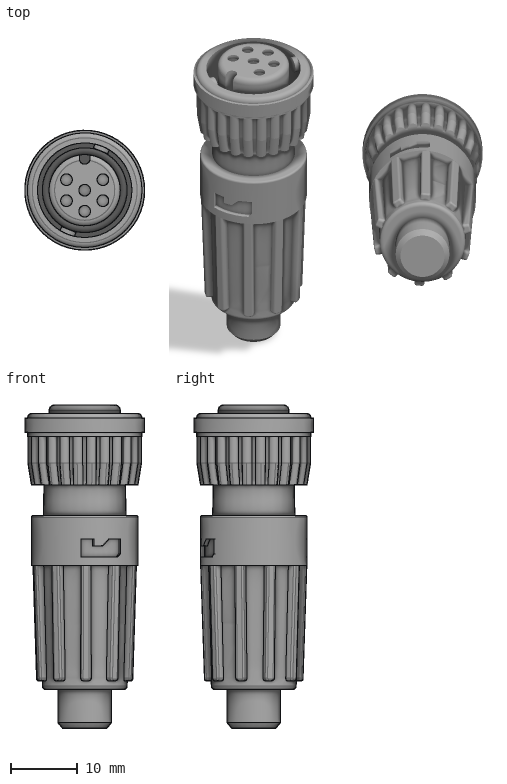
import cadquery as cq
import math


stub_chamfer_height = 0.88
barrel_bottom = 5.85
rib_bottom = 7.15
collar_bottom = 24.45
collar_top = 32.0
grip_bottom = 36.65
grip_bend = 39.9
grip_top = 43.85
band_bottom = 44.5
band_top = 46.65
ring_top = 47.38
total_height = 48.65

stub_radius = 4.05
stub_end_radius = 3.3
barrel_bottom_radius = 6.35
barrel_top_radius = 6.85
barrel_fillet = 0.6
collar_radius = 8.03
collar_fillet = 0.3
neck_bottom_radius = 6.25
neck_top_radius = 6.15
ring_radius = 8.6
band_diameter = 18.05
band_radius = band_diameter / 2
ring_fillet = ring_top - band_top

rib_count = 10
rib_first_angle = -88.3
rib_top_radius = 8.0
rib_bottom_radius = 7.4
rib_edge_fillet = 0.3
rib_corner_fillet = 0.45
rib_tip_width = 1.3
rib_root_width = 1.7
rib_root_radius = 5.85

lobe_count = 24
lobe_pitch = 360 / lobe_count
lobe_radius = 0.75
lobe_center_radius = ring_radius - lobe_radius
grip_taper = 0.55
grip_core_radius = 7.85

bore_radius = 7.1
cavity_floor = 39.9
insert_radius = 5.35
insert_fillet = 0.85
sleeve_radius = 6.35
sleeve_top = 41.35
contact_circle_radius = 3.15
contact_angles = (30, 150, 210, 270, 330)
contact_radius = 0.88
contact_depth = 0.65
keyway_width = 1.6
keyway_center_y = 4.7
keyway_bottom = sleeve_top

pin_radius = 1.15
pin_top = 47.35
pin_angles = (68, 248)
pin_inner_radius = sleeve_radius
pin_embedding = 0.3
pin_length = bore_radius + pin_embedding - pin_inner_radius

window_floor_radius = 7.4
window_angle = 19
window_half_width = 3.1
window_bottom = 25.8
window_top = 28.5
window_corner = 0.5
tongue_bottom = 27.45
tongue_left = -1.25
tongue_right = 0.05
tongue_slope_end = 1.15



def disc(radius, bottom, top):
    """Cylinder about the Z axis between two heights."""
    return cq.Workplane("XY").workplane(offset=bottom).circle(radius).extrude(top - bottom)


def cone(bottom_radius, top_radius, bottom, top):
    """Truncated cone about the Z axis between two heights."""
    outline = [(0, bottom), (bottom_radius, bottom), (top_radius, top), (0, top)]
    return cq.Workplane("XZ").polyline(outline).close().revolve(360, (0, 0, 0), (0, 1, 0))


def spin(shape, angle):
    """Turn a shape about the Z axis."""
    return shape.rotate((0, 0, 0), (0, 0, 1), angle)


def make_rear_body():
    """Stub, tapered barrel, collar and neck."""
    stub_end = cone(stub_end_radius, stub_radius, 0, stub_chamfer_height)
    stub = disc(stub_radius, stub_chamfer_height, barrel_bottom)
    barrel = cone(barrel_bottom_radius, barrel_top_radius, barrel_bottom, collar_bottom)
    barrel = barrel.faces("<Z").edges().fillet(barrel_fillet)
    collar = disc(collar_radius, collar_bottom, collar_top).faces(">Z").edges().fillet(collar_fillet)
    neck = cone(neck_bottom_radius, neck_top_radius, collar_top, grip_bottom)
    return stub_end.union(stub).union(barrel).union(collar).union(neck)


def make_ribs():
    """Wedge-sided ribs along the barrel, thinning towards the stub, with rounded free edges."""
    section = [
        (rib_root_radius, -rib_root_width / 2),
        (rib_top_radius, -rib_tip_width / 2),
        (rib_top_radius, rib_tip_width / 2),
        (rib_root_radius, rib_root_width / 2),
    ]
    wedge = (
        cq.Workplane("XY").workplane(offset=rib_bottom)
        .polyline(section).close().extrude(collar_bottom - rib_bottom)
    )
    side = [
        (rib_root_radius, rib_bottom),
        (rib_bottom_radius, rib_bottom),
        (rib_top_radius, collar_bottom),
        (rib_root_radius, collar_bottom),
    ]
    slab = cq.Workplane("XZ").polyline(side).close().extrude(rib_root_width / 2, both=True)
    rib = wedge.intersect(slab)
    rib = rib.faces("<Z").edges("<Y or >Y").fillet(rib_corner_fillet)
    rib = rib.faces(">X").edges("not >Z").fillet(rib_edge_fillet)
    ribs = cq.Workplane("XY")
    for index in range(rib_count):
        ribs = ribs.add(spin(rib, rib_first_angle + index * 360 / rib_count))
    return ribs.combine()


def make_coupling_ring():
    """Plain ring with a raised band, above a lobed grip that tapers towards its lower end."""
    ring = disc(ring_radius, grip_top, ring_top).faces(">Z").edges().fillet(ring_fillet)
    ring = ring.union(disc(band_radius, band_bottom, band_top))
    ring = ring.union(disc(grip_core_radius, grip_bend, grip_top))
    ring = ring.union(cone(grip_core_radius - grip_taper, grip_core_radius, grip_bottom, grip_bend))

    straight_lobe = disc(lobe_radius, grip_bend, grip_top).translate((lobe_center_radius, 0, 0))
    leaning_lobe = (
        cq.Workplane("XY").workplane(offset=grip_bottom)
        .center(lobe_center_radius - grip_taper, 0).circle(lobe_radius)
        .workplane(offset=grip_bend - grip_bottom)
        .center(grip_taper, 0).circle(lobe_radius)
        .loft(ruled=True)
    )
    lobe = straight_lobe.union(leaning_lobe)
    for index in range(lobe_count):
        ring = ring.union(spin(lobe, (index + 0.5) * lobe_pitch))
    return ring


def make_sleeve():
    """Sleeve around the insert, with a full-round upper rim."""
    rim_radius = (sleeve_radius - insert_radius) / 2
    shoulder = sleeve_top - rim_radius
    profile = (
        cq.Workplane("XZ")
        .moveTo(insert_radius, cavity_floor)
        .lineTo(sleeve_radius, cavity_floor)
        .lineTo(sleeve_radius, shoulder)
        .threePointArc((insert_radius + rim_radius, sleeve_top), (insert_radius, shoulder))
        .close()
    )
    return profile.revolve(360, (0, 0, 0), (0, 1, 0))


def make_insert():
    """Contact insert with five outer sockets, a central socket and a keyway in the sixth position."""
    insert = disc(insert_radius, cavity_floor, total_height).faces(">Z").edges().fillet(insert_fillet)
    sockets = [(0, 0)]
    for angle in contact_angles:
        turn = math.radians(angle)
        sockets.append((contact_circle_radius * math.cos(turn), contact_circle_radius * math.sin(turn)))
    insert = insert.cut(
        cq.Workplane("XY").workplane(offset=total_height - contact_depth)
        .pushPoints(sockets).circle(contact_radius).extrude(contact_depth)
    )
    keyway_floor = cq.Workplane("XY").workplane(offset=keyway_bottom)
    keyway_height = total_height - keyway_bottom
    rounded_end = keyway_floor.center(0, keyway_center_y).circle(keyway_width / 2).extrude(keyway_height)
    open_length = insert_radius - keyway_center_y
    open_end = (
        keyway_floor.center(0, keyway_center_y + open_length / 2)
        .rect(keyway_width, open_length).extrude(keyway_height)
    )
    return insert.cut(rounded_end).cut(open_end)


def make_pin(angle):
    """Radial bayonet pin reaching inwards from the bore of the coupling ring."""
    pin = (
        cq.Workplane("YZ").workplane(offset=pin_inner_radius)
        .center(0, pin_top - pin_radius).circle(pin_radius)
        .extrude(pin_length)
    )
    return spin(pin, angle)


def make_window():
    """Shallow latch window with a tongue hanging from its upper edge, facing -Y and turned a little to +X."""
    outline = [
        (-window_half_width, window_bottom),
        (window_half_width - window_corner, window_bottom),
        (window_half_width, window_bottom + window_corner),
        (window_half_width, window_top),
        (tongue_slope_end, window_top),
        (tongue_right, tongue_bottom),
        (tongue_left, tongue_bottom),
        (tongue_left, window_top),
        (-window_half_width, window_top),
    ]
    prism = cq.Workplane("XZ").polyline(outline).close().extrude(band_radius)
    window = prism.cut(disc(window_floor_radius, collar_bottom, collar_top))
    return spin(window, window_angle)


body = make_rear_body().union(make_ribs())
window = make_window()
body = body.cut(window).cut(spin(window, 180))

body = body.union(make_coupling_ring())
body = body.cut(disc(bore_radius, cavity_floor, ring_top))
body = body.union(make_insert()).union(make_sleeve())
for pin_angle in pin_angles:
    body = body.union(make_pin(pin_angle))

result = body